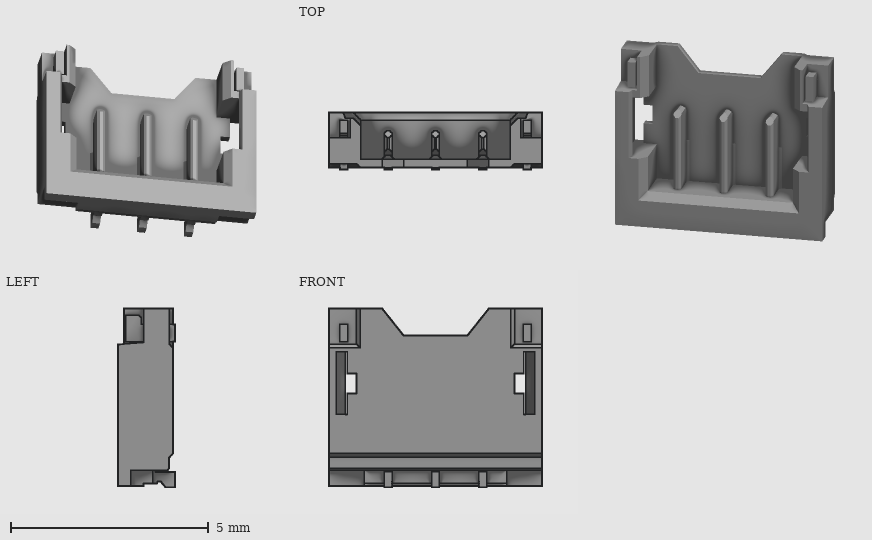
import cadquery as cq

WIDTH = 5.4
DEPTH = 1.4
HEIGHT = 4.5
HALF_WIDTH = WIDTH / 2

RELIEF = 0.1
GROOVE_TOP_Z = 0.83
BODY_BOTTOM_Z = 0.4
BOTTOM_CHAMFER = 0.05
REAR_FOOT_FRONT_Y = 1.07
BLOCK_HALF_WIDTH = 1.8
BLOCK_FRONT_Y = 0.52
BLOCK_STEP_Y = 0.75
BLOCK_STEP_Z = 0.08

FRONT_WALL = 0.21
CAVITY_HALF_WIDTH = 1.89
CAVITY_BACK_Y = 1.2
CAVITY_FLOOR_Z = 0.9
LEAD_IN = DEPTH - CAVITY_BACK_Y

NOTCH_TOP_HALF_WIDTH = 1.35
NOTCH_BOTTOM_HALF_WIDTH = 0.81
NOTCH_BOTTOM_Z = 3.82

RECESS_INNER_X = 2.0
RECESS_BOTTOM_Z = 3.6
LEDGE_BACK_Z = 3.59
LEDGE_FRONT_Z = 3.64
LEDGE_FRONT_Y = 0.75
POST_OUTER_X = 2.155
POST_BACK_Y = 1.25
POST_CHAMFER = 0.19

BACK_OPENING_OUTER_HALF = 2.34
BACK_OPENING_INNER_HALF = 2.28

WINDOW_BOTTOM_Z = 1.82
WINDOW_TOP_Z = 3.4
WINDOW_OUTER_X = 2.51
WINDOW_INNER_X = 2.24
WINDOW_TAPER_START_Y = 1.12
LATCH_NOTCH_INNER_X = 2.0
LATCH_NOTCH_BOTTOM_Z = 2.35
LATCH_NOTCH_TOP_Z = 2.85

PITCH = 1.2
METAL_WIDTH = 0.2
METAL_FRONT_Y = -0.05
FOOT_BOTTOM_Z = -0.03
FOOT_TOP_Z = 0.365
FOOT_HEEL_Y = 0.195
FOOT_ARCH_FRONT_Y = 0.315
FOOT_ARCH_BACK_Y = 0.39
FOOT_ARCH_Z = 0.118
SHANK_FRONT_Y = 0.41
SHANK_BOTTOM_Z = 0.065
FOOT_STEP_Y = 0.45
PIN_FRONT_Y = 0.31
PIN_BACK_Y = 0.93
PIN_TIP_Z = 3.0
PIN_TIP_WIDTH = 0.05
PIN_TIP_FRONT_Y = 0.47
PIN_TIP_BACK_Y = 0.755
PIN_CORNER = 0.06
RIB_BASE_WIDTH = 0.32
RIB_TIP_WIDTH = RIB_BASE_WIDTH - 2 * (PIN_FRONT_Y - FRONT_WALL)
RIB_TOP_Z = 2.0

TAB_X = 2.32
TAB_BOTTOM_Z = 3.66
TAB_FRONT_TOP_Z = 4.1
TAB_REAR_TOP_Z = 4.325
TAB_BACK_Y = 1.205
TAB_NECK_Y = 0.805
TAB_CORNER = 0.06


def box(x0, x1, y0, y1, z0, z1):
    """Axis-aligned box given by its limits."""
    return cq.Workplane("XY").box(x1 - x0, y1 - y0, z1 - z0, centered=False).translate((x0, y0, z0))


def extrude_x(points, x0, x1):
    """Extrude a (Y, Z) outline from x0 to x1."""
    return cq.Workplane("YZ").workplane(offset=x0).polyline(points).close().extrude(x1 - x0)


def extrude_y(points, y0, y1):
    """Extrude an (X, Z) outline from y0 to y1."""
    return cq.Workplane("XZ").workplane(offset=-y1).polyline(points).close().extrude(y1 - y0)


def extrude_z(points, z0, z1):
    """Extrude an (X, Y) outline from z0 to z1."""
    return cq.Workplane("XY").workplane(offset=z0).polyline(points).close().extrude(z1 - z0)


def both_sides(shape):
    """The shape together with its mirror image across X = 0."""
    return shape.union(shape.mirror("YZ"))


def housing_body():
    profile = [
        (0, HEIGHT),
        (DEPTH, HEIGHT),
        (DEPTH, 0),
        (REAR_FOOT_FRONT_Y, 0),
        (REAR_FOOT_FRONT_Y, BODY_BOTTOM_Z),
        (RELIEF + BOTTOM_CHAMFER, BODY_BOTTOM_Z),
        (RELIEF, BODY_BOTTOM_Z + BOTTOM_CHAMFER),
        (RELIEF, GROOVE_TOP_Z - RELIEF),
        (0, GROOVE_TOP_Z),
    ]
    block = [
        (REAR_FOOT_FRONT_Y, 0),
        (BLOCK_STEP_Y, 0),
        (BLOCK_STEP_Y, BLOCK_STEP_Z),
        (BLOCK_FRONT_Y, BLOCK_STEP_Z),
        (BLOCK_FRONT_Y, BODY_BOTTOM_Z),
        (REAR_FOOT_FRONT_Y, BODY_BOTTOM_Z),
    ]
    body = extrude_x(profile, -HALF_WIDTH, HALF_WIDTH)
    return body.union(extrude_x(block, -BLOCK_HALF_WIDTH, BLOCK_HALF_WIDTH))


def cavity():
    """Cavity that flares out through the back over a floor edge sloping down at 45 degrees."""
    flared_half_width = CAVITY_HALF_WIDTH + LEAD_IN
    main = box(-CAVITY_HALF_WIDTH, CAVITY_HALF_WIDTH, FRONT_WALL, CAVITY_BACK_Y, CAVITY_FLOOR_Z, HEIGHT)
    flare = extrude_z(
        [
            (-CAVITY_HALF_WIDTH, CAVITY_BACK_Y),
            (-flared_half_width, DEPTH),
            (flared_half_width, DEPTH),
            (CAVITY_HALF_WIDTH, CAVITY_BACK_Y),
        ],
        CAVITY_FLOOR_Z - LEAD_IN,
        WINDOW_BOTTOM_Z,
    )
    above_slope = extrude_x(
        [
            (CAVITY_BACK_Y, CAVITY_FLOOR_Z),
            (DEPTH, CAVITY_FLOOR_Z - LEAD_IN),
            (DEPTH, WINDOW_BOTTOM_Z),
            (CAVITY_BACK_Y, WINDOW_BOTTOM_Z),
        ],
        -flared_half_width,
        flared_half_width,
    )
    return main.union(flare.intersect(above_slope))


def back_opening():
    """Wide opening at the back above the window floor, with chamfers along the inner edges of the posts."""
    post_inner_y = POST_BACK_Y - POST_CHAMFER
    half = [
        (0, DEPTH),
        (BACK_OPENING_OUTER_HALF, DEPTH),
        (BACK_OPENING_INNER_HALF, POST_BACK_Y),
        (CAVITY_HALF_WIDTH + POST_CHAMFER, POST_BACK_Y),
        (CAVITY_HALF_WIDTH, post_inner_y),
        (0, post_inner_y),
    ]
    return both_sides(extrude_z(half, WINDOW_BOTTOM_Z, HEIGHT))


def front_notch():
    outline = [
        (-NOTCH_TOP_HALF_WIDTH, HEIGHT),
        (-NOTCH_BOTTOM_HALF_WIDTH, NOTCH_BOTTOM_Z),
        (NOTCH_BOTTOM_HALF_WIDTH, NOTCH_BOTTOM_Z),
        (NOTCH_TOP_HALF_WIDTH, HEIGHT),
    ]
    return extrude_y(outline, 0, FRONT_WALL)


def corner_recess():
    """Shallow front recess whose inner side and floor slope at 45 degrees."""
    across = extrude_z(
        [
            (RECESS_INNER_X - RELIEF, 0),
            (HALF_WIDTH, 0),
            (HALF_WIDTH, RELIEF),
            (RECESS_INNER_X, RELIEF),
        ],
        RECESS_BOTTOM_Z - RELIEF,
        HEIGHT,
    )
    upward = extrude_x(
        [
            (0, RECESS_BOTTOM_Z - RELIEF),
            (RELIEF, RECESS_BOTTOM_Z),
            (RELIEF, HEIGHT),
            (0, HEIGHT),
        ],
        0,
        HALF_WIDTH,
    )
    return both_sides(across.intersect(upward))


def rear_ledge():
    outline = [
        (LEDGE_FRONT_Y, LEDGE_FRONT_Z),
        (DEPTH, LEDGE_BACK_Z),
        (DEPTH, HEIGHT),
        (LEDGE_FRONT_Y, HEIGHT),
    ]
    return both_sides(extrude_x(outline, POST_OUTER_X, HALF_WIDTH))


def latch_window():
    slot = extrude_z(
        [
            (WINDOW_INNER_X, 0),
            (WINDOW_OUTER_X, 0),
            (WINDOW_OUTER_X, WINDOW_TAPER_START_Y),
            (BACK_OPENING_INNER_HALF, POST_BACK_Y),
            (CAVITY_HALF_WIDTH, POST_BACK_Y),
            (CAVITY_HALF_WIDTH, FRONT_WALL),
            (WINDOW_INNER_X, FRONT_WALL),
        ],
        WINDOW_BOTTOM_Z,
        WINDOW_TOP_Z,
    )
    notch = box(
        LATCH_NOTCH_INNER_X, WINDOW_INNER_X, 0, FRONT_WALL, LATCH_NOTCH_BOTTOM_Z, LATCH_NOTCH_TOP_Z
    )
    return both_sides(slot.union(notch))


def contact(x):
    """Pin with 45-degree tip slopes, the rib joining it to the front wall, and the solder foot."""
    x0 = x - METAL_WIDTH / 2
    x1 = x + METAL_WIDTH / 2
    front_shoulder_z = PIN_TIP_Z - (PIN_TIP_FRONT_Y - PIN_FRONT_Y)
    back_shoulder_z = PIN_TIP_Z - (PIN_BACK_Y - PIN_TIP_BACK_Y)
    side_shoulder_z = PIN_TIP_Z - (METAL_WIDTH - PIN_TIP_WIDTH) / 2
    side_profile = extrude_x(
        [
            (PIN_FRONT_Y, CAVITY_FLOOR_Z),
            (PIN_FRONT_Y, front_shoulder_z),
            (PIN_TIP_FRONT_Y, PIN_TIP_Z),
            (PIN_TIP_BACK_Y, PIN_TIP_Z),
            (PIN_BACK_Y, back_shoulder_z),
            (PIN_BACK_Y, CAVITY_FLOOR_Z),
        ],
        x0,
        x1,
    )
    front_profile = extrude_y(
        [
            (x0, CAVITY_FLOOR_Z),
            (x0, side_shoulder_z),
            (x - PIN_TIP_WIDTH / 2, PIN_TIP_Z),
            (x + PIN_TIP_WIDTH / 2, PIN_TIP_Z),
            (x1, side_shoulder_z),
            (x1, CAVITY_FLOOR_Z),
        ],
        PIN_FRONT_Y,
        PIN_BACK_Y,
    )
    pin = side_profile.intersect(front_profile).edges("|Z and >Y").chamfer(PIN_CORNER)
    rib = extrude_z(
        [
            (x - RIB_BASE_WIDTH / 2, FRONT_WALL),
            (x + RIB_BASE_WIDTH / 2, FRONT_WALL),
            (x + RIB_TIP_WIDTH / 2, PIN_FRONT_Y),
            (x - RIB_TIP_WIDTH / 2, PIN_FRONT_Y),
        ],
        CAVITY_FLOOR_Z,
        RIB_TOP_Z,
    )
    foot = extrude_x(
        [
            (METAL_FRONT_Y, FOOT_BOTTOM_Z),
            (FOOT_HEEL_Y, FOOT_BOTTOM_Z),
            (FOOT_ARCH_FRONT_Y, FOOT_ARCH_Z),
            (FOOT_ARCH_BACK_Y, FOOT_ARCH_Z),
            (SHANK_FRONT_Y, SHANK_BOTTOM_Z),
            (BLOCK_STEP_Y, SHANK_BOTTOM_Z),
            (BLOCK_STEP_Y, BODY_BOTTOM_Z),
            (FOOT_STEP_Y, BODY_BOTTOM_Z),
            (FOOT_STEP_Y, FOOT_TOP_Z),
            (METAL_FRONT_Y, FOOT_TOP_Z),
        ],
        x0,
        x1,
    )
    return pin.union(rib).union(foot)


def solder_tabs():
    """Metal tabs running through the corner posts from front to back."""
    outline = [
        (METAL_FRONT_Y, TAB_BOTTOM_Z),
        (TAB_BACK_Y, TAB_BOTTOM_Z),
        (TAB_BACK_Y, TAB_REAR_TOP_Z),
        (TAB_NECK_Y + TAB_CORNER, TAB_REAR_TOP_Z),
        (TAB_NECK_Y, TAB_REAR_TOP_Z - TAB_CORNER),
        (TAB_NECK_Y, TAB_FRONT_TOP_Z),
        (METAL_FRONT_Y, TAB_FRONT_TOP_Z),
    ]
    return both_sides(extrude_x(outline, TAB_X - METAL_WIDTH / 2, TAB_X + METAL_WIDTH / 2))


result = housing_body()
for cut in (cavity(), back_opening(), front_notch(), corner_recess(), rear_ledge(), latch_window()):
    result = result.cut(cut)
for contact_x in (-PITCH, 0, PITCH):
    result = result.union(contact(contact_x))
result = result.union(solder_tabs())